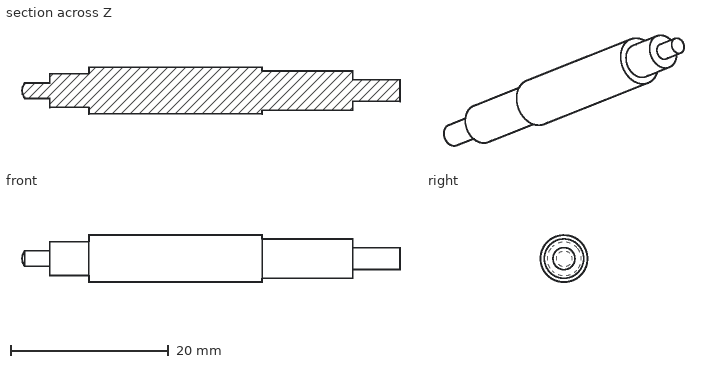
import cadquery as cq
import math

tip_diameter = 2.0
tip_length = 3.5
dome_radius = 1.5

collar_diameter = 4.3
collar_length = 5.0

body_diameter = 6.0
body_length = 22.0

sleeve_diameter = 5.0
sleeve_length = 11.5

tail_diameter = 2.8
tail_length = 6.0

tip_radius = tip_diameter / 2
dome_height = dome_radius - math.sqrt(dome_radius**2 - tip_radius**2)

steps = [
    (collar_diameter, collar_length),
    (body_diameter, body_length),
    (sleeve_diameter, sleeve_length),
    (tail_diameter, tail_length),
]


def domed_tip():
    """Slim cylinder with a shallow spherical end, revolved about X."""
    half_angle = math.asin(tip_radius / dome_radius) / 2
    arc_middle = (
        dome_radius * (1 - math.cos(half_angle)),
        dome_radius * math.sin(half_angle),
    )
    return (
        cq.Workplane("XZ")
        .moveTo(0, 0)
        .threePointArc(arc_middle, (dome_height, tip_radius))
        .lineTo(tip_length, tip_radius)
        .lineTo(tip_length, 0)
        .close()
        .revolve(360, (0, 0), (1, 0))
    )


def cylinder_step(start_x, diameter, length):
    """Cylinder on the X axis, from start_x towards +X."""
    return cq.Workplane("YZ", origin=(start_x, 0, 0)).circle(diameter / 2).extrude(length)


result = domed_tip()
step_start = tip_length
for step_diameter, step_length in steps:
    result = result.union(cylinder_step(step_start, step_diameter, step_length))
    step_start += step_length